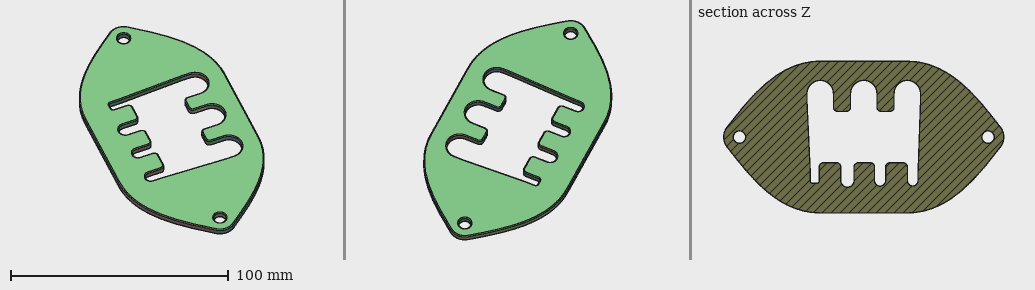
import cadquery as cq
import math

length = 128.8
width = 69.8
thickness = 3.0
edge_chamfer = 0.5

side_half = 20.0
tip_radius = 7.3
tip_half_angle = 38.0
side_pull = 20.0
tip_pull = 15.8

hole_diameter = 5.6
hole_x = length / 2 - tip_radius

upper_pitch = 20.0
upper_radius = 6.0
upper_slot_y = 20.0
upper_tooth_y = 11.75

lower_pitch = 15.0
lower_slot_y = -20.0
lower_tooth_y = -11.75
lower_radii = (2.0, 3.0, 2.5, 2.4)
square_slot_depth = 1.2
square_slot_corner = 1.0

flank_y = 16.0
tooth_corner = 2.0

upper_centres = [i * upper_pitch for i in (-1, 0, 1)]
lower_centres = [(i - (len(lower_radii) - 1) / 2) * lower_pitch for i in range(len(lower_radii))]


def flank(outline, sx, sy, from_side):
    """Add one flank curve, in the quadrant given by the signs sx and sy."""
    angle = math.radians(tip_half_angle)
    cos_a = math.cos(angle)
    sin_a = math.sin(angle)
    tip_x = hole_x + tip_radius * cos_a
    tip_y = tip_radius * sin_a
    points = [
        (side_half, width / 2),
        (side_half + side_pull, width / 2),
        (tip_x - tip_pull * sin_a, tip_y + tip_pull * cos_a),
        (tip_x, tip_y),
    ]
    if not from_side:
        points.reverse()
    return outline.bezier([(sx * x, sy * y) for x, y in points])


def tip_arc(outline, sx, end_sy):
    """Add the round tip on side sx, ending in the half given by end_sy."""
    angle = math.radians(tip_half_angle)
    end = (sx * (hole_x + tip_radius * math.cos(angle)), end_sy * tip_radius * math.sin(angle))
    return outline.threePointArc((sx * length / 2, 0), end)


def make_plate():
    outline = cq.Workplane("XY").moveTo(-side_half, width / 2).lineTo(side_half, width / 2)
    outline = flank(outline, 1, 1, from_side=True)
    outline = tip_arc(outline, 1, -1)
    outline = flank(outline, 1, -1, from_side=False)
    outline = outline.lineTo(-side_half, -width / 2)
    outline = flank(outline, -1, -1, from_side=True)
    outline = tip_arc(outline, -1, 1)
    outline = flank(outline, -1, 1, from_side=False)
    return outline.close().extrude(thickness)


def tooth_edge(outline, start_x, end_x, tip_y, root_sign):
    """Follow a tooth from its wall at start_x to its wall at end_x, rounding its corners.

    root_sign is +1 for a tooth rooted above its tip, which is followed left to right,
    and -1 for one rooted below its tip, which is followed right to left.
    """
    inset = root_sign * tooth_corner
    outline = outline.lineTo(start_x, tip_y + inset).radiusArc((start_x + inset, tip_y), -tooth_corner)
    return outline.lineTo(end_x - inset, tip_y).radiusArc((end_x, tip_y + inset), -tooth_corner)


def make_window():
    outline = cq.Workplane("XY").moveTo(upper_centres[0] - upper_radius, flank_y)
    for i, x in enumerate(upper_centres):
        if i > 0:
            previous_wall = upper_centres[i - 1] + upper_radius
            outline = tooth_edge(outline, previous_wall, x - upper_radius, upper_tooth_y, 1)
        outline = outline.lineTo(x - upper_radius, upper_slot_y)
        outline = outline.threePointArc((x, upper_slot_y + upper_radius), (x + upper_radius, upper_slot_y))
    outline = outline.lineTo(upper_centres[-1] + upper_radius, flank_y)

    outline = outline.lineTo(lower_centres[-1] + lower_radii[-1], -flank_y)
    for i in range(len(lower_centres) - 1, 0, -1):
        x = lower_centres[i]
        r = lower_radii[i]
        outline = outline.lineTo(x + r, lower_slot_y)
        outline = outline.threePointArc((x, lower_slot_y - r), (x - r, lower_slot_y))
        next_wall = lower_centres[i - 1] + lower_radii[i - 1]
        outline = tooth_edge(outline, x - r, next_wall, lower_tooth_y, -1)

    left = lower_centres[0] - lower_radii[0]
    right = lower_centres[0] + lower_radii[0]
    floor_y = lower_slot_y - square_slot_depth
    corner_y = floor_y + square_slot_corner
    outline = outline.lineTo(right, corner_y)
    outline = outline.radiusArc((right - square_slot_corner, floor_y), square_slot_corner)
    outline = outline.lineTo(left + square_slot_corner, floor_y)
    outline = outline.radiusArc((left, corner_y), square_slot_corner)
    return outline.lineTo(left, -flank_y).close().extrude(thickness)


def make_holes():
    return (
        cq.Workplane("XY")
        .pushPoints([(-hole_x, 0), (hole_x, 0)])
        .circle(hole_diameter / 2)
        .extrude(thickness)
    )


plate = make_plate().cut(make_window()).cut(make_holes())
result = plate.faces(">Z").chamfer(edge_chamfer)